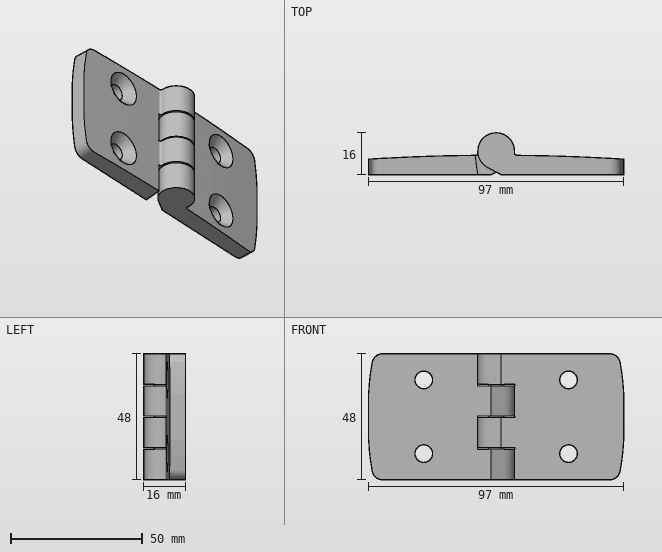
import cadquery as cq
import math

hinge_height = 48.0
leaf_reach = 48.5
end_thickness = 6.0
crown_radius = 785.0
end_flat_half = 8.8
end_arc_radius = 95.0
end_break_angle = 3.0
corner_radius = 4.2

barrel_radius = 7.0
axis_y = 9.0
relief_x = 1.9
root_fillet = 0.9
notch_front_x = barrel_radius
notch_back_x = 8.0
pin_diameter = 6.0
centre_gap = 0.4
outer_gap = 0.6

hole_diameter = 6.6
countersink_diameter = 13.75
countersink_angle = 90.0
hole_x = 27.5
hole_z = 14.0

margin = 1.0

half_height = hinge_height / 2
knuckle_pitch = hinge_height / 4
inner_limit_x = -barrel_radius - margin
back_limit_y = axis_y + barrel_radius + margin
crown_centre_y = end_thickness - math.sqrt(crown_radius**2 - leaf_reach**2)


def back_y(x):
    """Y of the crowned back face at a distance x from the hinge axis."""
    return crown_centre_y + math.sqrt(crown_radius**2 - x**2)


def barrel_point(angle):
    """Point (x, y) on the barrel surface."""
    return barrel_radius * math.cos(angle), axis_y + barrel_radius * math.sin(angle)


def end_arc_point(z):
    """Point (x, z) on the arc that draws the outer end back above the straight part."""
    break_angle = math.radians(end_break_angle)
    centre_x = leaf_reach - end_arc_radius * math.cos(break_angle)
    centre_z = end_flat_half - end_arc_radius * math.sin(break_angle)
    return centre_x + math.sqrt(end_arc_radius**2 - (z - centre_z)**2), z


def make_section():
    """Plate and barrel as one prism over the whole hinge height."""
    axis_distance = math.hypot(relief_x, axis_y)
    tangent_angle = math.atan2(-axis_y, relief_x) - math.acos(barrel_radius / axis_distance)
    barrel_middle_angle = (tangent_angle - 2 * math.pi) / 2

    fillet_x = barrel_radius + root_fillet
    fillet_y = back_y(fillet_x) + root_fillet
    fillet_diagonal = root_fillet * math.sqrt(0.5)
    crown_middle_x = (fillet_x + leaf_reach) / 2
    return (
        cq.Workplane("XY", origin=(0, 0, -half_height))
        .moveTo(relief_x, 0)
        .lineTo(*barrel_point(tangent_angle))
        .threePointArc(barrel_point(barrel_middle_angle), (barrel_radius, axis_y))
        .lineTo(barrel_radius, fillet_y)
        .threePointArc(
            (fillet_x - fillet_diagonal, fillet_y - fillet_diagonal),
            (fillet_x, back_y(fillet_x)),
        )
        .threePointArc((crown_middle_x, back_y(crown_middle_x)), (leaf_reach, end_thickness))
        .lineTo(leaf_reach, 0)
        .close()
        .extrude(hinge_height)
    )


def make_outline():
    """Block with the leaf's outline: shaped outer end and rounded outer corners."""
    arc_middle_x, arc_middle_z = end_arc_point((end_flat_half + half_height) / 2)
    corner_x, corner_z = end_arc_point(half_height)
    block = (
        cq.Workplane("XZ", origin=(0, -margin, 0))
        .moveTo(inner_limit_x, -half_height)
        .lineTo(corner_x, -corner_z)
        .threePointArc((arc_middle_x, -arc_middle_z), (leaf_reach, -end_flat_half))
        .lineTo(leaf_reach, end_flat_half)
        .threePointArc((arc_middle_x, arc_middle_z), (corner_x, corner_z))
        .lineTo(inner_limit_x, half_height)
        .close()
        .extrude(-(back_limit_y + margin))
    )
    corner_middle_y = (back_limit_y - margin) / 2
    for z in (-corner_z, corner_z):
        corner_edge = cq.selectors.NearestToPointSelector((corner_x, corner_middle_y, z))
        block = block.edges(corner_edge).fillet(corner_radius)
    return block


def make_notch(z_low, z_high):
    """Cutter that clears the barrel for a knuckle of the other leaf."""
    lean = (notch_back_x - notch_front_x) / back_y(notch_back_x)
    return (
        cq.Workplane("XY", origin=(0, 0, z_low))
        .moveTo(inner_limit_x, -margin)
        .lineTo(notch_front_x - lean * margin, -margin)
        .lineTo(notch_front_x + lean * back_limit_y, back_limit_y)
        .lineTo(inner_limit_x, back_limit_y)
        .close()
        .extrude(z_high - z_low)
    )


def make_screw_hole(z):
    """Cutter for a through hole countersunk from the crowned back face."""
    hole_radius = hole_diameter / 2
    slope = math.tan(math.radians(countersink_angle / 2))
    countersink_radius = countersink_diameter / 2
    face_y = back_y(hole_x)
    cone_start_y = face_y - (countersink_radius - hole_radius) / slope
    return (
        cq.Workplane("XY", origin=(hole_x, 0, z))
        .moveTo(0, -margin)
        .lineTo(hole_radius, -margin)
        .lineTo(hole_radius, cone_start_y)
        .lineTo(countersink_radius + margin * slope, face_y + margin)
        .lineTo(0, face_y + margin)
        .close()
        .revolve(360, (0, 0, 0), (0, 1, 0))
    )


def make_leaf():
    """Right leaf, with the top knuckle and the one just below the middle."""
    leaf = make_section().intersect(make_outline())
    leaf = leaf.cut(make_notch(-centre_gap / 2, knuckle_pitch + outer_gap / 2))
    leaf = leaf.cut(make_notch(-half_height - margin, -knuckle_pitch + outer_gap / 2))
    for z in (-hole_z, hole_z):
        leaf = leaf.cut(make_screw_hole(z))
    return leaf


def make_pin():
    """Hinge pin through all knuckles."""
    return (
        cq.Workplane("XY", origin=(0, axis_y, -half_height))
        .circle(pin_diameter / 2)
        .extrude(hinge_height)
    )


right_leaf = make_leaf()
left_leaf = right_leaf.rotate((0, 0, 0), (0, 1, 0), 180)
result = right_leaf.union(left_leaf).union(make_pin())